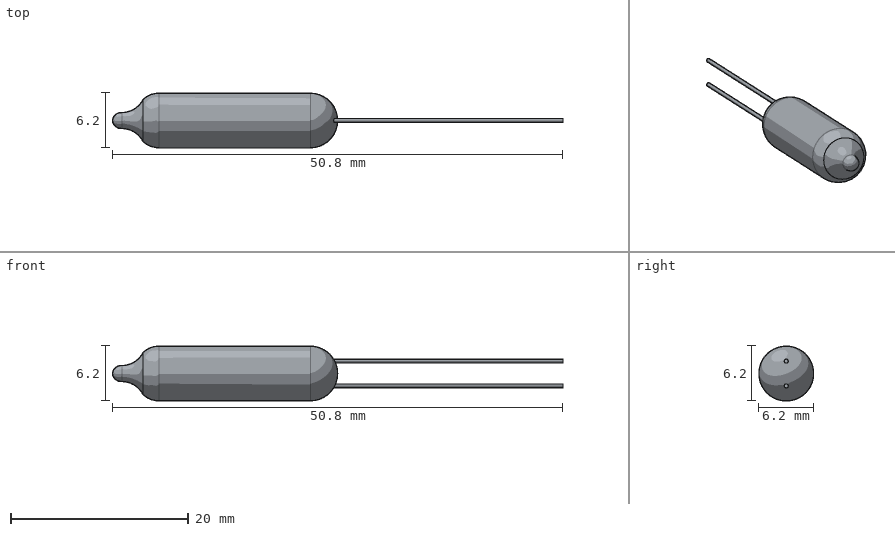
import cadquery as cq
import math

overall_length = 50.8
glass_length = 25.4
body_radius = 3.1
body_start = 5.25
body_end = glass_length - body_radius

tip_length = 1.05
tip_radius = 0.9
shoulder_joint_x = 3.45
shoulder_joint_radius = 2.4

lead_diameter = 0.45
lead_spacing = 2.8


def axial_arc_middle(tangent_x, tangent_radius, end_x, end_radius):
    """Midpoint of an arc that starts parallel to the axis and stops at the end point."""
    run = end_x - tangent_x
    rise = end_radius - tangent_radius
    signed_radius = (run**2 + rise**2) / (2 * rise)
    half_sweep = math.atan2(abs(rise), abs(run))
    middle_x = tangent_x + math.copysign(abs(signed_radius) * math.sin(half_sweep), run)
    middle_radius = tangent_radius + signed_radius * (1 - math.cos(half_sweep))
    return middle_x, middle_radius


def make_glass():
    diagonal = math.sqrt(0.5)
    tip_middle = (tip_length * (1 - diagonal), tip_radius * diagonal)
    neck_middle = axial_arc_middle(tip_length, tip_radius, shoulder_joint_x, shoulder_joint_radius)
    shoulder_middle = axial_arc_middle(body_start, body_radius, shoulder_joint_x, shoulder_joint_radius)
    dome_middle = (body_end + body_radius * diagonal, body_radius * diagonal)
    return (
        cq.Workplane("XZ")
        .moveTo(0, 0)
        .threePointArc(tip_middle, (tip_length, tip_radius))
        .threePointArc(neck_middle, (shoulder_joint_x, shoulder_joint_radius))
        .threePointArc(shoulder_middle, (body_start, body_radius))
        .lineTo(body_end, body_radius)
        .threePointArc(dome_middle, (glass_length, 0))
        .close()
        .revolve(360, (0, 0), (1, 0))
    )


def make_leads():
    return (
        cq.Workplane("YZ", origin=(body_end, 0, 0))
        .pushPoints([(0, -lead_spacing / 2), (0, lead_spacing / 2)])
        .circle(lead_diameter / 2)
        .extrude(overall_length - body_end)
    )


result = make_glass().union(make_leads())